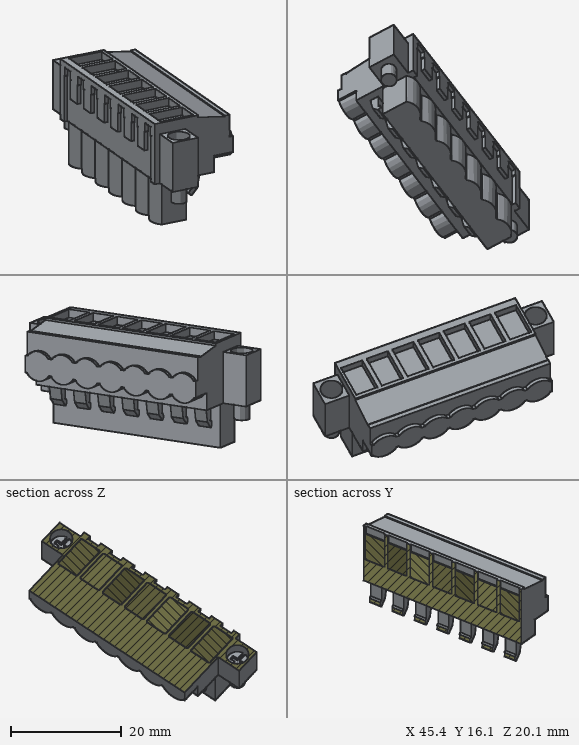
import cadquery as cq


TOTAL_LENGTH = 45.35
HOUSING_LENGTH = 35.75
POLE_COUNT = 7
POLE_PITCH = 5.1
POLE_CENTRES = [(i - (POLE_COUNT - 1) / 2) * POLE_PITCH for i in range(POLE_COUNT)]

TOP_Z = 11.75
TOP_BACK_Y = 8.95
SLOPE_TOP_Z = 11.35
SLOPE_BOTTOM_Z = 10.45
RIDGE_FRONT_Y = 14.42
RIDGE_BACK_Y = 15.38
RIDGE_Z = 10.6
LEDGE_BACK_Y = 16.1
LEDGE_TOP_Z = 6.3
LEDGE_BOTTOM_Z = 3.18
BLOCK_BACK_Y = 12.2

BARREL_RADIUS = 2.75
BARREL_Z = 4.65

RECESS_DEPTH = 0.7
RECESS_TOP_Z = 10.6
RECESS_STEP_Z = 8.9
TOOTH_BOTTOM_Z = 5.2
UPPER_SLOT_WIDTH = 2.1
TOOTH_WIDTH = 2.65
LOWER_SLOT_WIDTH = POLE_PITCH - TOOTH_WIDTH

PILLAR_WIDTH = 4.55
PILLAR_LENGTH = 8.3
PILLAR_SHOULDER_Y = 1.7
PILLAR_BACK_Y = 6.7

HOOK_WIDTH = LOWER_SLOT_WIDTH
HOOK_FRONT_Y = 8.4
HOOK_ROOT_BACK_Y = 10.05
HOOK_KNEE_Y = 9.53
HOOK_KNEE_Z = -3.0
HOOK_NOSE_Y = 7.9
HOOK_NOSE_TOP_Z = -2.95
HOOK_LENGTH = 4.25

BUTTON_WIDTH = 4.2
BUTTON_FRONT_Y = 1.5
BUTTON_BACK_Y = 8.2
BUTTON_RECESS = 1.55
BUTTON_HEIGHT = 5.45
BUTTON_TOP_Z = TOP_Z - BUTTON_RECESS

FLANGE_FRONT_Y = 1.1
FLANGE_BACK_Y = 6.3
FLANGE_HEIGHT = 9.55

SCREW_X = 20.25
SCREW_Y = (FLANGE_FRONT_Y + FLANGE_BACK_Y) / 2
HEAD_RADIUS = 2.0
HEAD_BOTTOM_Z = 1.8
HEAD_HEIGHT = 1.8
SHANK_RADIUS = 1.4
SHANK_PROTRUSION = 3.15
DRIVE_DEPTH = 0.7
DRIVE_SLOT_WIDTH = 0.55
DRIVE_ARM_LENGTH = 2.6
DRIVE_ARM_WIDTH = 0.8


def box_between(x_range, y_range, z_range):
    """Axis-aligned box given by its limits along X, Y and Z."""
    (x0, x1), (y0, y1), (z0, z1) = x_range, y_range, z_range
    return cq.Workplane("XY").box(x1 - x0, y1 - y0, z1 - z0, centered=False).translate((x0, y0, z0))


def centred_span(centre, width):
    """Lower and upper limit of a width placed about a centre."""
    return (centre - width / 2, centre + width / 2)


def cylinder_z(x, y, radius, bottom_z, height):
    """Upright cylinder standing on bottom_z."""
    return cq.Workplane("XY", origin=(x, y, bottom_z)).circle(radius).extrude(height)


def main_block():
    """Stepped block with a sloping shoulder and a wire ledge at the back."""
    outline = [
        (0, 0),
        (0, TOP_Z),
        (TOP_BACK_Y, TOP_Z),
        (TOP_BACK_Y, SLOPE_TOP_Z),
        (RIDGE_FRONT_Y, SLOPE_BOTTOM_Z),
        (RIDGE_FRONT_Y, RIDGE_Z),
        (RIDGE_BACK_Y, RIDGE_Z),
        (RIDGE_BACK_Y, LEDGE_TOP_Z),
        (LEDGE_BACK_Y, LEDGE_TOP_Z),
        (LEDGE_BACK_Y, LEDGE_BOTTOM_Z),
        (BLOCK_BACK_Y, LEDGE_BOTTOM_Z),
        (BLOCK_BACK_Y, 0),
    ]
    return cq.Workplane("YZ").polyline(outline).close().extrude(HOUSING_LENGTH / 2, both=True)


def wire_barrel(x):
    """Barrel bulging above and below the ledge, cut flush with the housing ends."""
    length = LEDGE_BACK_Y - BLOCK_BACK_Y
    barrel = cq.Workplane("XZ", origin=(x, LEDGE_BACK_Y, BARREL_Z)).circle(BARREL_RADIUS).extrude(length)
    envelope = box_between(
        centred_span(0, HOUSING_LENGTH),
        (BLOCK_BACK_Y, LEDGE_BACK_Y),
        centred_span(BARREL_Z, 2 * BARREL_RADIUS),
    )
    return barrel.intersect(envelope)


def front_recess():
    """Shallow panel whose upper edge rises into one stepped slot per pole."""
    depth = (0, RECESS_DEPTH)
    panel_length = POLE_CENTRES[-1] - POLE_CENTRES[0] + LOWER_SLOT_WIDTH
    recess = box_between(centred_span(0, panel_length), depth, (0, TOOTH_BOTTOM_Z))
    for x in POLE_CENTRES:
        lower_slot = box_between(centred_span(x, LOWER_SLOT_WIDTH), depth, (0, RECESS_STEP_Z))
        upper_slot = box_between(centred_span(x, UPPER_SLOT_WIDTH), depth, (0, RECESS_TOP_Z))
        recess = recess.union(lower_slot).union(upper_slot)
    return recess


def contact_pillars():
    """Row of pillars with bowed fronts, joined by flat webs."""
    row = box_between(
        (POLE_CENTRES[0], POLE_CENTRES[-1]), (PILLAR_SHOULDER_Y, PILLAR_BACK_Y), (-PILLAR_LENGTH, 0)
    )
    for x in POLE_CENTRES:
        left, right = centred_span(x, PILLAR_WIDTH)
        pillar = (
            cq.Workplane("XY")
            .moveTo(left, PILLAR_BACK_Y)
            .lineTo(left, PILLAR_SHOULDER_Y)
            .threePointArc((x, RECESS_DEPTH), (right, PILLAR_SHOULDER_Y))
            .lineTo(right, PILLAR_BACK_Y)
            .close()
            .extrude(-PILLAR_LENGTH)
        )
        row = row.union(pillar)
    return row


def latch_hook(x):
    """Tapered finger with a rounded, forward-pointing nose at its end."""
    nose_z = (HOOK_NOSE_TOP_Z - HOOK_LENGTH) / 2
    return (
        cq.Workplane("YZ", origin=(x, 0, 0))
        .moveTo(HOOK_FRONT_Y, 0)
        .lineTo(HOOK_ROOT_BACK_Y, 0)
        .lineTo(HOOK_KNEE_Y, HOOK_KNEE_Z)
        .lineTo(HOOK_FRONT_Y, -HOOK_LENGTH)
        .threePointArc((HOOK_NOSE_Y, nose_z), (HOOK_FRONT_Y, HOOK_NOSE_TOP_Z))
        .close()
        .extrude(HOOK_WIDTH / 2, both=True)
    )


def screw_flange(x):
    """Square flange at one end, reaching from the housing end to the overall length."""
    inner_x = HOUSING_LENGTH / 2
    outer_x = TOTAL_LENGTH / 2
    x_range = (inner_x, outer_x) if x > 0 else (-outer_x, -inner_x)
    return box_between(x_range, (FLANGE_FRONT_Y, FLANGE_BACK_Y), (0, FLANGE_HEIGHT))


def screw_bore(x):
    """Stepped bore: wide above the head seat, shank size below it."""
    shank_bore = cylinder_z(x, SCREW_Y, SHANK_RADIUS, 0, FLANGE_HEIGHT)
    head_bore = cylinder_z(x, SCREW_Y, HEAD_RADIUS, HEAD_BOTTOM_Z, FLANGE_HEIGHT - HEAD_BOTTOM_Z)
    return shank_bore.union(head_bore)


def button_pocket(x):
    """Rectangular well open at the top, holding one button at its bottom."""
    return box_between(
        centred_span(x, BUTTON_WIDTH),
        (BUTTON_FRONT_Y, BUTTON_BACK_Y),
        (BUTTON_TOP_Z - BUTTON_HEIGHT, TOP_Z),
    )


def make_housing():
    body = main_block().cut(front_recess()).union(contact_pillars())
    for x in POLE_CENTRES:
        body = body.union(wire_barrel(x)).union(latch_hook(x)).cut(button_pocket(x))
    for x in (-SCREW_X, SCREW_X):
        body = body.union(screw_flange(x)).cut(screw_bore(x))
    return body


def make_button(x):
    """Plain block filling the lower part of its pocket."""
    return box_between(
        centred_span(x, BUTTON_WIDTH),
        (BUTTON_FRONT_Y, BUTTON_BACK_Y),
        (BUTTON_TOP_Z - BUTTON_HEIGHT, BUTTON_TOP_Z),
    )


def make_screw(x):
    """Screw with a slot right across the head and a short, wider cross arm."""
    shank_length = HEAD_BOTTOM_Z + SHANK_PROTRUSION
    head_top_z = HEAD_BOTTOM_Z + HEAD_HEIGHT
    drive_z = (head_top_z - DRIVE_DEPTH, head_top_z)
    shank = cylinder_z(x, SCREW_Y, SHANK_RADIUS, -SHANK_PROTRUSION, shank_length)
    head = cylinder_z(x, SCREW_Y, HEAD_RADIUS, HEAD_BOTTOM_Z, HEAD_HEIGHT)
    slot = box_between(
        centred_span(x, DRIVE_SLOT_WIDTH), centred_span(SCREW_Y, 2 * HEAD_RADIUS), drive_z
    )
    cross_arm = box_between(
        centred_span(x, DRIVE_ARM_LENGTH), centred_span(SCREW_Y, DRIVE_ARM_WIDTH), drive_z
    )
    return shank.union(head).cut(slot).cut(cross_arm)


housing = make_housing()
buttons = [make_button(x) for x in POLE_CENTRES]
screws = [make_screw(x) for x in (-SCREW_X, SCREW_X)]

result = cq.Compound.makeCompound(
    [
        housing.solids().val(),
        *[button.solids().val() for button in buttons],
        *[screw.solids().val() for screw in screws],
    ]
)